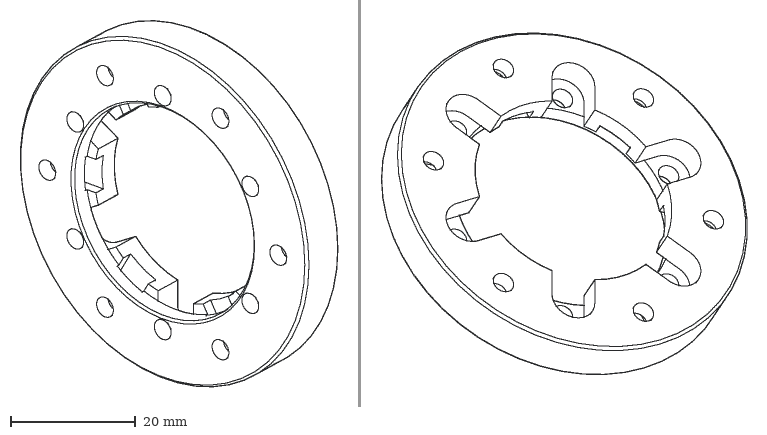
import cadquery as cq

outer_diameter = 60.0
thickness = 8.3
edge_chamfer = 0.5

bore_diameter = 37.3
bore_chamfer = 0.4

tooth_count = 6
tooth_tip_diameter = 33.7
tooth_length = 5.0
gap_width = 7.3
pocket_width = 6.0
pocket_length = 2.3
pocket_overlap = 0.4

hole_diameter = 3.5
outer_hole_pitch_radius = 24.0
inner_hole_pitch_radius = 21.0
holes_per_circle = 6

tooth_pitch_angle = 360.0 / tooth_count
front_y = -thickness / 2
back_y = thickness / 2
tooth_front_y = back_y - tooth_length
pocket_front_y = tooth_front_y - pocket_overlap


def disc(diameter, start_y, length):
    """Solid cylinder about the Y axis, running from start_y towards +Y."""
    plane = cq.Plane(origin=(0, start_y, 0), xDir=(1, 0, 0), normal=(0, 1, 0))
    return cq.Workplane(plane).circle(diameter / 2).extrude(length)


def radial_slot(width, start_y, length, end_radius, angle):
    """Slot from the axis to a round end centred at end_radius, turned about Y from the +X direction."""
    bar = cq.Workplane("XY").box(end_radius, length, width, centered=(False, False, True))
    slot = bar.translate((0, start_y, 0)).union(disc(width, start_y, length).translate((end_radius, 0, 0)))
    return slot.rotate((0, 0, 0), (0, 1, 0), angle)


def make_ring():
    ring = disc(outer_diameter, front_y, thickness).edges().chamfer(edge_chamfer)
    ring = ring.cut(disc(bore_diameter, front_y, thickness))
    bore_edge = cq.selectors.RadiusNthSelector(0)
    return ring.faces("<Y").edges(bore_edge).chamfer(bore_chamfer)


def make_teeth_band():
    """Continuous inner band that the slots divide into teeth."""
    band = disc(bore_diameter, tooth_front_y, tooth_length)
    return band.cut(disc(tooth_tip_diameter, tooth_front_y, tooth_length))


def cut_slots(body):
    """Cut the gaps between teeth, open at the back, and the pocket in front of each tooth."""
    for index in range(tooth_count):
        tooth_angle = index * tooth_pitch_angle
        gap_angle = tooth_angle + tooth_pitch_angle / 2
        gap = radial_slot(gap_width, tooth_front_y, tooth_length, inner_hole_pitch_radius, gap_angle)
        pocket = radial_slot(pocket_width, pocket_front_y, pocket_length, outer_hole_pitch_radius, tooth_angle)
        body = body.cut(gap).cut(pocket)
    return body


def make_holes(pitch_radius, start_angle):
    return (
        cq.Workplane("XZ", origin=(0, back_y, 0))
        .polarArray(pitch_radius, start_angle, 360, holes_per_circle)
        .circle(hole_diameter / 2)
        .extrude(thickness)
    )


result = cut_slots(make_ring().union(make_teeth_band()))
result = result.cut(make_holes(outer_hole_pitch_radius, 0))
result = result.cut(make_holes(inner_hole_pitch_radius, 180.0 / holes_per_circle))